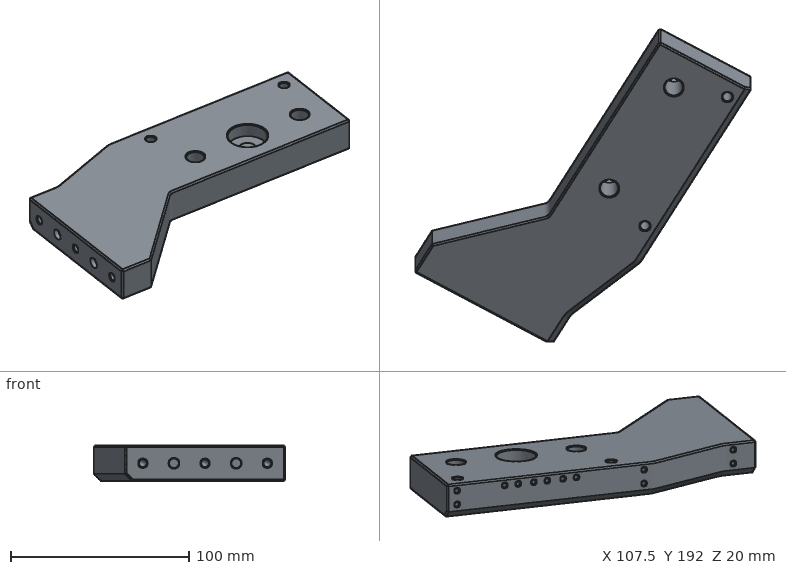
import cadquery as cq
import math

length = 192.0
width = 107.5
thickness = 20.0
arm_width = 60.0
foot_left = 17.5
foot_height = 20.0
bend_height = foot_height + width - arm_width
left_bend_radius = 12.0
right_bend_radius = 5.0
edge_chamfer = 1.0
wide_chamfer = 4.0

bore_x = 39.0
bore_y = 136.0
bore_diameter = 22.3
bore_depth = 8.0
recess_diameter = 9.0
recess_depth = 0.2

large_hole_diameter = 10.2
large_hole_offset = 36.0
small_hole_diameter = 5.4
small_hole_x = 10.0
small_hole_offset = 46.0
hole_chamfer = 0.5
drill_point_angle = 118.0

hole_pitch = 17.5
end_row_x = (foot_left + width) / 2
end_hole_steps = range(-2, 3)
end_hole_depth = 11.5
screw_hole_diameter = 4.2
dowel_hole_diameter = 5.4
dowel_mouth_diameter = 6.1
dowel_mouth_depth = 3.0

side_hole_diameter = 2.5
side_hole_depth = 5.8
side_hole_upper_z = 16.0
side_hole_spacing = 8.0
vertical_pair_ys = (186.0, 74.0, 13.8)

selection_margin = 2.0


def revolved_hole(diameter, depth, chamfer=0.0, pointed=False):
    """Cutter running from the origin along +Z, with an optional bevelled rim and drill point."""
    radius = diameter / 2
    tip = depth
    if pointed:
        tip += radius / math.tan(math.radians(drill_point_angle / 2))
    profile = cq.Workplane("XZ").lineTo(radius + chamfer, 0)
    if chamfer:
        profile = profile.lineTo(radius, chamfer)
    profile = profile.lineTo(radius, depth).lineTo(0, tip).close()
    return profile.revolve(360, (0, 0), (0, 1))


def through_hole(diameter):
    """Cutter through the full thickness, bevelled at both faces."""
    half = revolved_hole(diameter, thickness / 2, hole_chamfer)
    return half.union(half.mirror("XY", (0, 0, thickness / 2)))


def make_plate():
    plate = (
        cq.Workplane("XY")
        .moveTo(foot_left, 0)
        .lineTo(width, 0)
        .lineTo(width, foot_height)
        .lineTo(arm_width, bend_height)
        .lineTo(arm_width, length)
        .lineTo(0, length)
        .lineTo(0, bend_height)
        .lineTo(foot_left, foot_height)
        .close()
        .extrude(thickness)
    )
    bends = (
        (0, bend_height, left_bend_radius),
        (foot_left, foot_height, left_bend_radius),
        (arm_width, bend_height, right_bend_radius),
    )
    for x, y, radius in bends:
        bend = cq.selectors.NearestToPointSelector((x, y, thickness / 2))
        plate = plate.edges("|Z").edges(bend).fillet(radius)
    return plate


def left_run(inset):
    """Selector for the bottom edges along the left side, lying up to inset inside it."""
    low = (-selection_margin, selection_margin, -selection_margin)
    high = (foot_left + inset + selection_margin, length - selection_margin, selection_margin)
    return cq.selectors.BoxSelector(low, high)


def bevel_edges(plate):
    """Wide bevel along the lower left side, then narrow bevels on top, bottom and both ends."""
    plate = plate.faces("<Z").edges(left_run(0)).chamfer(wide_chamfer)
    all_edges = cq.selectors.StringSyntaxSelector("%LINE or %CIRCLE")
    narrow_run = cq.selectors.SubtractSelector(all_edges, left_run(wide_chamfer))
    bottom_edges = plate.faces("<Z").edges(narrow_run)
    other_edges = plate.faces(">Z or <Y or >Y").edges()
    return other_edges.add(bottom_edges).chamfer(edge_chamfer)


def cut_bore(plate):
    bore = revolved_hole(bore_diameter, bore_depth, hole_chamfer)
    recess = revolved_hole(recess_diameter, bore_depth + recess_depth)
    cutter = bore.union(recess).rotate((0, 0, 0), (1, 0, 0), 180)
    return plate.cut(cutter.translate((bore_x, bore_y, thickness)))


def cut_through_holes(plate):
    large = through_hole(large_hole_diameter)
    small = through_hole(small_hole_diameter)
    for side in (-1, 1):
        plate = plate.cut(large.translate((bore_x, bore_y + side * large_hole_offset, 0)))
        plate = plate.cut(small.translate((small_hole_x, bore_y + side * small_hole_offset, 0)))
    return plate


def cut_end_holes(plate):
    screw = revolved_hole(screw_hole_diameter, end_hole_depth, hole_chamfer, pointed=True)
    dowel = revolved_hole(dowel_hole_diameter, end_hole_depth)
    dowel = dowel.union(revolved_hole(dowel_mouth_diameter, dowel_mouth_depth))
    for step in end_hole_steps:
        cutter = dowel if step % 2 else screw
        cutter = cutter.rotate((0, 0, 0), (1, 0, 0), -90)
        plate = plate.cut(cutter.translate((end_row_x + step * hole_pitch, 0, thickness / 2)))
    return plate


def cut_side_holes(plate):
    centers = []
    for y in vertical_pair_ys:
        x = foot_left if y < foot_height else 0
        centers.append((x, y, side_hole_upper_z))
        centers.append((x, y, side_hole_upper_z - side_hole_spacing))
    for step in (-1, 0, 1):
        pair_y = bore_y + step * hole_pitch
        for side in (-1, 1):
            centers.append((0, pair_y + side * side_hole_spacing / 2, side_hole_upper_z))
    cutter = revolved_hole(side_hole_diameter, side_hole_depth, hole_chamfer, pointed=True)
    cutter = cutter.rotate((0, 0, 0), (0, 1, 0), 90)
    for center in centers:
        plate = plate.cut(cutter.translate(center))
    return plate


result = bevel_edges(make_plate())
result = cut_bore(result)
result = cut_through_holes(result)
result = cut_end_holes(result)
result = cut_side_holes(result)